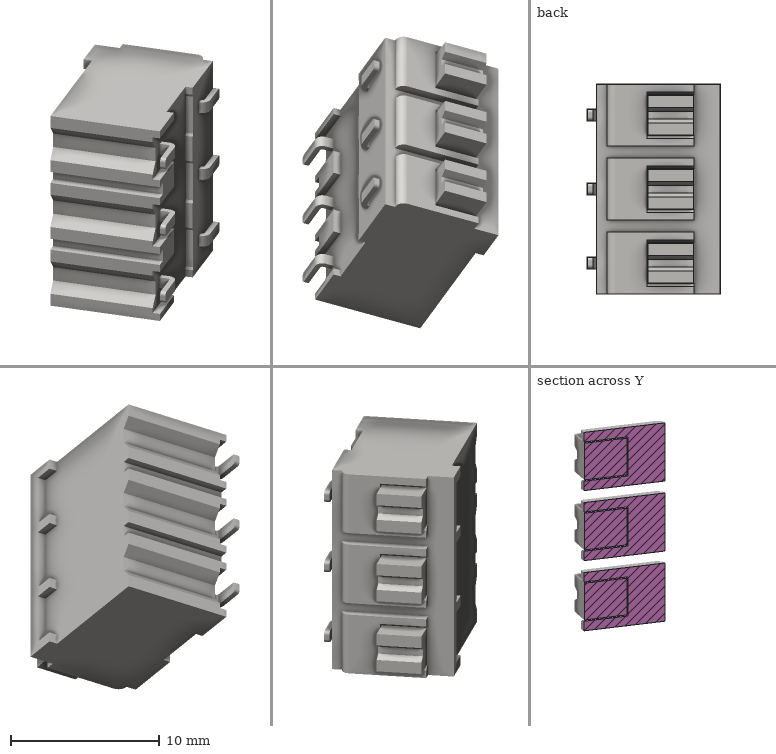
import cadquery as cq

POLES = 3
PITCH = 5.0
HEIGHT = 14.2

FLANGE_DEPTH = 0.6
BODY_RIGHT = 8.38
FLANGE_BOTTOM = 9.13
SHOULDER = 11.57
RAISED_TOP = 12.23
RAISED_LEFT = 1.77
RAISED_RIGHT = 7.65
RAISED_RADIUS = 0.6
RECESS_FLOOR = 7.87
RECESS_BOTTOM = 3.05
RECESS_TOP = 7.17

RIB_WIDTH = 0.71
WINDOW_TOP = 10.6

GROOVE_DEPTH = 0.63
GROOVE_FLOOR_WIDTH = 1.0
GROOVE_MOUTH_WIDTH = 2.42
GAP_WIDTH = 0.82

SLOT_WIDTH = 2.76
SLOT_MOUTH_WIDTH = 3.14
DENT_DEPTH = 0.1
PLUNGER_SLOT_CHAMFER = 0.3

PLUNGER_WIDTH = 2.66
PLUNGER_LEFT = 1.83
PLUNGER_RIGHT = 4.9
PLUNGER_TOP = 13.68
PLUNGER_CLEARANCE = PLUNGER_LEFT - RAISED_LEFT
NOTCH_DEPTH = 0.55
NOTCH_MOUTH_WIDTH = 1.04
NOTCH_FLOOR_WIDTH = 0.5

PIN_RIGHT = 9.0
PIN_THICKNESS = 0.38
PIN_WIDTH = 0.8
PIN_LENGTH = 2.6
PIN_OUTER_RADIUS = 0.55
PIN_TIP_RADIUS = 0.25
PIN_ROOT = 0.5
LOWER_PIN_END = -0.7
UPPER_PIN_END = 11.16

POLE_CENTERS = [PITCH * (i - (POLES - 1) / 2) for i in range(POLES)]
GAP_CENTERS = [z + PITCH / 2 for z in POLE_CENTERS[:-1]]


def box(x0, x1, y0, y1, center_z, width):
    """Box between two X and two Y values, centred on center_z."""
    return (
        cq.Workplane("XY", origin=(0, 0, center_z - width / 2))
        .moveTo(x0, y0)
        .lineTo(x1, y0)
        .lineTo(x1, y1)
        .lineTo(x0, y1)
        .close()
        .extrude(width)
    )


def tapered_bar(x0, x1, wide_y, narrow_y, wide, narrow, center_z):
    """Trapezoid in the YZ plane, extruded from x0 to x1."""
    return (
        cq.Workplane("YZ", origin=(x0, 0, center_z))
        .polyline([
            (wide_y, -wide / 2),
            (narrow_y, -narrow / 2),
            (narrow_y, narrow / 2),
            (wide_y, wide / 2),
        ])
        .close()
        .extrude(x1 - x0)
    )


def housing_block():
    outline = (
        cq.Workplane("XY", origin=(0, 0, -HEIGHT / 2))
        .moveTo(FLANGE_DEPTH, 0)
        .lineTo(BODY_RIGHT, 0)
        .lineTo(BODY_RIGHT, RECESS_BOTTOM)
        .lineTo(RECESS_FLOOR, RECESS_BOTTOM)
        .lineTo(RECESS_FLOOR, RECESS_TOP)
        .lineTo(BODY_RIGHT, RECESS_TOP)
        .lineTo(BODY_RIGHT, SHOULDER)
        .lineTo(RAISED_RIGHT, SHOULDER)
        .lineTo(RAISED_RIGHT, RAISED_TOP - RAISED_RADIUS)
        .radiusArc((RAISED_RIGHT - RAISED_RADIUS, RAISED_TOP), -RAISED_RADIUS)
        .lineTo(RAISED_LEFT, RAISED_TOP)
        .lineTo(RAISED_LEFT, SHOULDER)
        .lineTo(0, SHOULDER)
        .lineTo(0, FLANGE_BOTTOM)
        .lineTo(FLANGE_DEPTH, FLANGE_BOTTOM)
        .close()
    )
    return outline.extrude(HEIGHT)


def flange_windows():
    """Openings between the flange ribs; the outer ribs end at the housing faces."""
    edges = [-HEIGHT / 2 + RIB_WIDTH / 2] + GAP_CENTERS + [HEIGHT / 2 - RIB_WIDTH / 2]
    windows = cq.Workplane("XY")
    for low, high in zip(edges, edges[1:]):
        width = high - low - RIB_WIDTH
        windows = windows.add(box(0, FLANGE_DEPTH, FLANGE_BOTTOM, WINDOW_TOP, (low + high) / 2, width))
    return windows.combine()


def pole_gap(z):
    lower = box(FLANGE_DEPTH, BODY_RIGHT, 0, GROOVE_DEPTH, z, GAP_WIDTH)
    upper = box(RAISED_LEFT, RAISED_RIGHT, SHOULDER, RAISED_TOP, z, GAP_WIDTH)
    return lower.add(upper).combine()


def lower_groove(z):
    return tapered_bar(
        FLANGE_DEPTH, BODY_RIGHT, 0, GROOVE_DEPTH, GROOVE_MOUTH_WIDTH, GROOVE_FLOOR_WIDTH, z
    )


def pin_slot(z):
    """Slot from the lower end to the right-wall recess, with a tapered dent across the recess."""
    slot = box(RECESS_FLOOR, BODY_RIGHT, 0, RECESS_BOTTOM, z, SLOT_MOUTH_WIDTH)
    dent = tapered_bar(
        RECESS_FLOOR, BODY_RIGHT, RECESS_TOP, RECESS_TOP + DENT_DEPTH, SLOT_MOUTH_WIDTH, SLOT_WIDTH, z
    )
    return slot.add(dent).combine()


def plunger_slot(z):
    """Slot in the raised bank, open to the left, with a chamfered mouth."""
    right = PLUNGER_RIGHT + PLUNGER_CLEARANCE
    slot = box(RAISED_LEFT, right, SHOULDER, RAISED_TOP, z, SLOT_WIDTH)
    mouth = tapered_bar(
        RAISED_LEFT,
        right,
        RAISED_TOP,
        RAISED_TOP - PLUNGER_SLOT_CHAMFER,
        SLOT_MOUTH_WIDTH,
        SLOT_WIDTH,
        z,
    )
    return slot.union(mouth)


def plunger(z):
    block = box(PLUNGER_LEFT, PLUNGER_RIGHT, SHOULDER, PLUNGER_TOP, z, PLUNGER_WIDTH)
    notch = tapered_bar(
        PLUNGER_LEFT,
        PLUNGER_RIGHT,
        PLUNGER_TOP,
        PLUNGER_TOP - NOTCH_DEPTH,
        NOTCH_MOUTH_WIDTH,
        NOTCH_FLOOR_WIDTH,
        z,
    )
    return block.cut(notch)


def bent_pin(z, end_y, direction):
    """L-shaped pin: root along X, tail along Y ending at end_y; direction is the tail's Y sign."""
    outer_y = end_y - direction * PIN_LENGTH
    inner_y = outer_y + direction * PIN_THICKNESS
    bend_y = outer_y + direction * PIN_OUTER_RADIUS
    bend_x = PIN_RIGHT - PIN_OUTER_RADIUS
    tail_left = PIN_RIGHT - PIN_THICKNESS
    inner_radius = PIN_OUTER_RADIUS - PIN_THICKNESS
    root_x = RECESS_FLOOR - PIN_ROOT
    pin = (
        cq.Workplane("XY", origin=(0, 0, z - PIN_WIDTH / 2))
        .moveTo(root_x, outer_y)
        .lineTo(bend_x, outer_y)
        .radiusArc((PIN_RIGHT, bend_y), -direction * PIN_OUTER_RADIUS)
        .lineTo(PIN_RIGHT, end_y)
        .lineTo(tail_left, end_y)
        .lineTo(tail_left, bend_y)
        .radiusArc((bend_x, inner_y), direction * inner_radius)
        .lineTo(root_x, inner_y)
        .close()
        .extrude(PIN_WIDTH)
    )
    tip = ">Y" if direction > 0 else "<Y"
    return pin.faces(tip).edges("|X").fillet(PIN_TIP_RADIUS)


result = housing_block().cut(flange_windows())

for gap_z in GAP_CENTERS:
    result = result.cut(pole_gap(gap_z))

for pole_z in POLE_CENTERS:
    result = result.cut(lower_groove(pole_z))
    result = result.cut(pin_slot(pole_z))
    result = result.cut(plunger_slot(pole_z))
    result = result.union(plunger(pole_z))
    result = result.union(bent_pin(pole_z, LOWER_PIN_END, -1))
    result = result.union(bent_pin(pole_z, UPPER_PIN_END, 1))